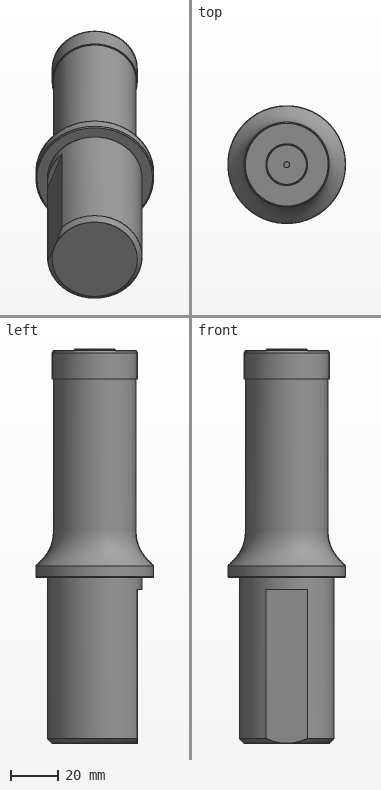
import cadquery as cq
import math

total_height = 167.0
pin_projection = 0.7
holder_height = total_height - pin_projection

shank_radius = 20.0
shank_height = 70.1
shank_chamfer = 2.0
flat_distance = 18.0
flat_height = 65.1

flange_radius = 50.0 / 2
flange_edge_chamfer = 0.5
flange_rim_height = 5.0
flare_arc_radius = 16.7
flare_angle = math.radians(45)

neck_radius = 17.5
collar_radius = 18.0
collar_length = 12.0
collar_chamfer_height = 1.0
collar_chamfer_width = 0.5

pin_radius = 8.9
pin_edge_chamfer = 0.5
pin_length = collar_length + pin_projection
centre_hole_diameter = 2.5
centre_hole_depth = 0.2


def make_holder_blank():
    """Revolve the shank, flange, flare, neck and collar about Z."""
    rim_top = shank_height + flange_rim_height
    arc_end_radius = neck_radius + flare_arc_radius * (1 - math.cos(flare_angle))
    arc_end_height = rim_top + (flange_radius - arc_end_radius) * math.tan(flare_angle)
    arc_start_height = arc_end_height + flare_arc_radius * math.sin(flare_angle)
    arc_middle_radius = neck_radius + flare_arc_radius * (1 - math.cos(flare_angle / 2))
    arc_middle_height = arc_start_height - flare_arc_radius * math.sin(flare_angle / 2)
    collar_bottom = holder_height - collar_length

    profile = (
        cq.Workplane("XZ")
        .moveTo(0, 0)
        .lineTo(shank_radius - shank_chamfer, 0)
        .lineTo(shank_radius, shank_chamfer)
        .lineTo(shank_radius, shank_height)
        .lineTo(flange_radius - flange_edge_chamfer, shank_height)
        .lineTo(flange_radius, shank_height + flange_edge_chamfer)
        .lineTo(flange_radius, rim_top)
        .lineTo(arc_end_radius, arc_end_height)
        .threePointArc((arc_middle_radius, arc_middle_height), (neck_radius, arc_start_height))
        .lineTo(neck_radius, collar_bottom)
        .lineTo(collar_radius, collar_bottom)
        .lineTo(collar_radius, holder_height - collar_chamfer_height)
        .lineTo(collar_radius - collar_chamfer_width, holder_height)
        .lineTo(0, holder_height)
        .close()
    )
    return profile.revolve(360, (0, 0, 0), (0, 1, 0))


def make_flat_cutter():
    """Block that removes the -Y side of the shank up to the top of the flat."""
    return cq.Workplane("XY").box(
        2 * shank_radius, shank_radius, flat_height, centered=(True, False, False)
    ).translate((0, -flat_distance - shank_radius, 0))


def make_pin_blank():
    """Plain cylinder filling the pin seat and standing proud of the collar."""
    return (
        cq.Workplane("XY")
        .workplane(offset=total_height - pin_length)
        .circle(pin_radius)
        .extrude(pin_length)
    )


def make_holder():
    return make_holder_blank().cut(make_flat_cutter()).cut(make_pin_blank())


def make_pin():
    """Chamfered pin with a small blind hole in its top face."""
    return (
        make_pin_blank()
        .faces(">Z")
        .chamfer(pin_edge_chamfer)
        .faces(">Z")
        .workplane()
        .hole(centre_hole_diameter, centre_hole_depth)
    )


holder = make_holder()
pin = make_pin()
result = cq.Compound.makeCompound([holder.val(), pin.val()])